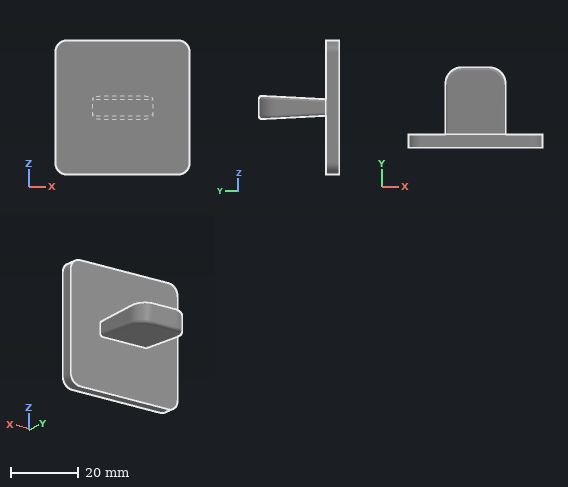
import cadquery as cq

plate_side = 40.0
plate_thickness = 4.0
plate_corner_radius = 3.5

grip_length = 20.0
grip_width = 18.0
grip_root_height = 5.0
grip_tip_height = 7.1
grip_corner_radius = 5.0
grip_edge_radius = 1.0

grip_tip_y = plate_thickness + grip_length


def make_plate():
    """Square plate with rounded corners, from y = 0 to its thickness."""
    return (
        cq.Workplane("XZ")
        .rect(plate_side, plate_side)
        .extrude(-plate_thickness)
        .edges("|Y")
        .fillet(plate_corner_radius)
    )


def make_grip():
    """Tapered grip with rounded tip corners and softened top and bottom rims."""
    profile = [
        (plate_thickness, -grip_root_height / 2),
        (grip_tip_y, -grip_tip_height / 2),
        (grip_tip_y, grip_tip_height / 2),
        (plate_thickness, grip_root_height / 2),
    ]
    blank = (
        cq.Workplane("YZ")
        .polyline(profile)
        .close()
        .extrude(grip_width / 2, both=True)
    )
    rounded = blank.edges("|Z and >Y").fillet(grip_corner_radius)
    rims = rounded.faces(">Z or <Z").edges("not <Y")
    return rims.fillet(grip_edge_radius)


plate = make_plate()
grip = make_grip()

result = cq.Compound.makeCompound([plate.val(), grip.val()])